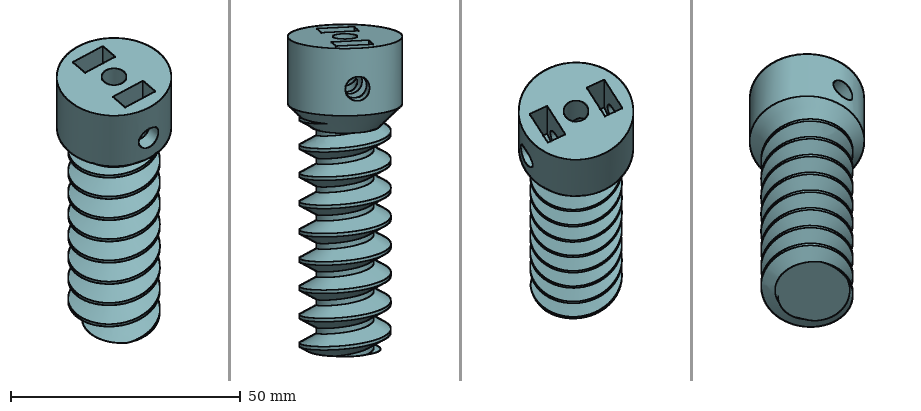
import cadquery as cq
import math

total_length = 70.0
head_diameter = 25.0
head_height = 15.0
neck_height = 5.0
shank_height = total_length - head_height - neck_height
neck_end_radius = head_diameter / 2 - neck_height

pitch = 6.3
crest_radius = 10.0
root_radius = 6.3
crest_width = 0.8
flank_angle = 30.0
flank_slope = math.tan(math.radians(flank_angle))
first_crest_z = 0.0
thread_end_z = 53.2
root_overlap = 0.35

hole_diameter = 5.4
cross_hole_z = total_length - 9.0
center_hole_depth = head_height
nut_across_flats = 8.3
nut_thickness = 4.35
nut_offset = 7.1
nut_corner_radius = nut_across_flats / math.sqrt(3)


def make_head():
    """Cylindrical head, conical neck and plain core as one revolved body."""
    return (
        cq.Workplane("XZ")
        .moveTo(0, 0)
        .lineTo(root_radius, 0)
        .lineTo(root_radius, shank_height)
        .lineTo(neck_end_radius, shank_height)
        .lineTo(head_diameter / 2, shank_height + neck_height)
        .lineTo(head_diameter / 2, total_length)
        .lineTo(0, total_length)
        .close()
        .revolve(360, (0, 0, 0), (0, 1, 0))
    )


def make_thread():
    """Helical ridge, cut flush with the base and running out inside the neck."""
    start_z = first_crest_z - pitch
    rise = thread_end_z - start_z
    helix = cq.Wire.makeHelix(pitch, rise, root_radius, cq.Vector(0, 0, start_z))
    half_crest = crest_width / 2
    inner_radius = root_radius - root_overlap
    half_base = half_crest + flank_slope * (crest_radius - inner_radius)
    ridge = (
        cq.Workplane("XZ")
        .polyline(
            [
                (inner_radius, start_z - half_base),
                (crest_radius, start_z - half_crest),
                (crest_radius, start_z + half_crest),
                (inner_radius, start_z + half_base),
            ]
        )
        .close()
        .sweep(cq.Workplane(helix), isFrenet=True)
    )
    below_base = cq.Workplane("XY").circle(head_diameter / 2).extrude(-2 * pitch)
    return ridge.cut(below_base)


def make_nut_trap(x):
    """Slot for a hexagonal nut around the cross hole, open upward, with one nut corner at the bottom."""
    half_width = nut_across_flats / 2
    lower_corner_z = cross_hole_z - nut_corner_radius / 2
    return (
        cq.Workplane("YZ", origin=(x - nut_thickness / 2, 0, 0))
        .polyline(
            [
                (-half_width, total_length),
                (-half_width, lower_corner_z),
                (0, cross_hole_z - nut_corner_radius),
                (half_width, lower_corner_z),
                (half_width, total_length),
            ]
        )
        .close()
        .extrude(nut_thickness)
    )


cross_hole = (
    cq.Workplane("YZ", origin=(-head_diameter / 2, 0, cross_hole_z))
    .circle(hole_diameter / 2)
    .extrude(head_diameter)
)
center_hole = (
    cq.Workplane("XY", origin=(0, 0, total_length - center_hole_depth))
    .circle(hole_diameter / 2)
    .extrude(center_hole_depth)
)

result = make_head().union(make_thread()).cut(cross_hole).cut(center_hole)
for side in (-1, 1):
    result = result.cut(make_nut_trap(side * nut_offset))